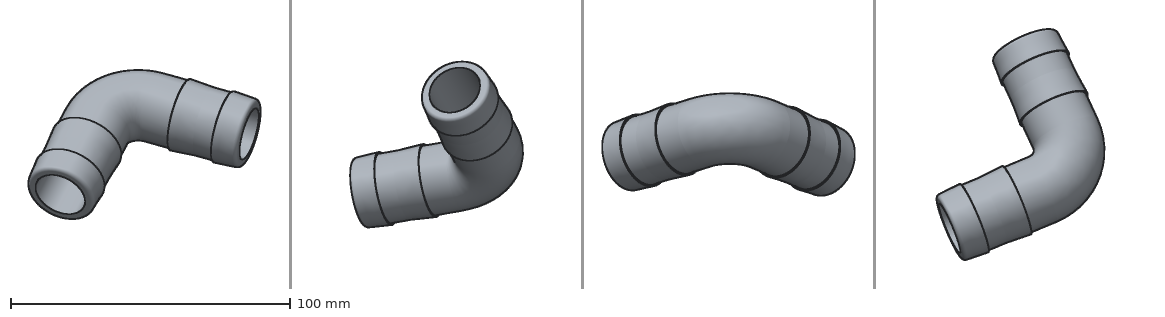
import cadquery as cq

outer_size = 65.65
pipe_diameter = 25.4
bore_diameter = 19.05
barb_diameter = 26.65
leg_length = 36.5
inner_barb_crest = 26.25
inner_barb_foot = 16.75
end_barb_crest = 9.6
end_rounding = 1.45

pipe_radius = pipe_diameter / 2
barb_radius = barb_diameter / 2
bore_radius = bore_diameter / 2
end_distance = outer_size - barb_radius
bend_radius = end_distance - leg_length


def make_leg():
    """Barbed hose tail along +X, from the bend to the open end; both barbs taper towards that end."""
    outline = [
        (bend_radius, 0),
        (bend_radius, pipe_radius),
        (end_distance - inner_barb_crest, pipe_radius),
        (end_distance - inner_barb_crest, barb_radius),
        (end_distance - inner_barb_foot, pipe_radius),
        (end_distance - end_barb_crest, pipe_radius),
        (end_distance - end_barb_crest, barb_radius),
        (end_distance, pipe_radius),
        (end_distance, 0),
    ]
    tail = cq.Workplane("XY").polyline(outline).close().revolve(360, (0, 0), (1, 0))
    tail = tail.faces(">X").edges().fillet(end_rounding)
    bore = cq.Workplane("YZ", origin=(bend_radius, 0, 0)).circle(bore_radius).extrude(leg_length)
    return tail.cut(bore)


def make_bend():
    """Quarter-turn tube joining the X leg to the Y leg, turning about an axis parallel to Z."""
    return (
        cq.Workplane("YZ", origin=(bend_radius, 0, 0))
        .circle(pipe_radius)
        .circle(bore_radius)
        .revolve(90, (-bend_radius, 0), (-bend_radius, 1))
    )


x_leg = make_leg()
y_leg = x_leg.rotate((0, 0, 0), (0, 0, 1), -90)

result = make_bend().union(x_leg).union(y_leg)